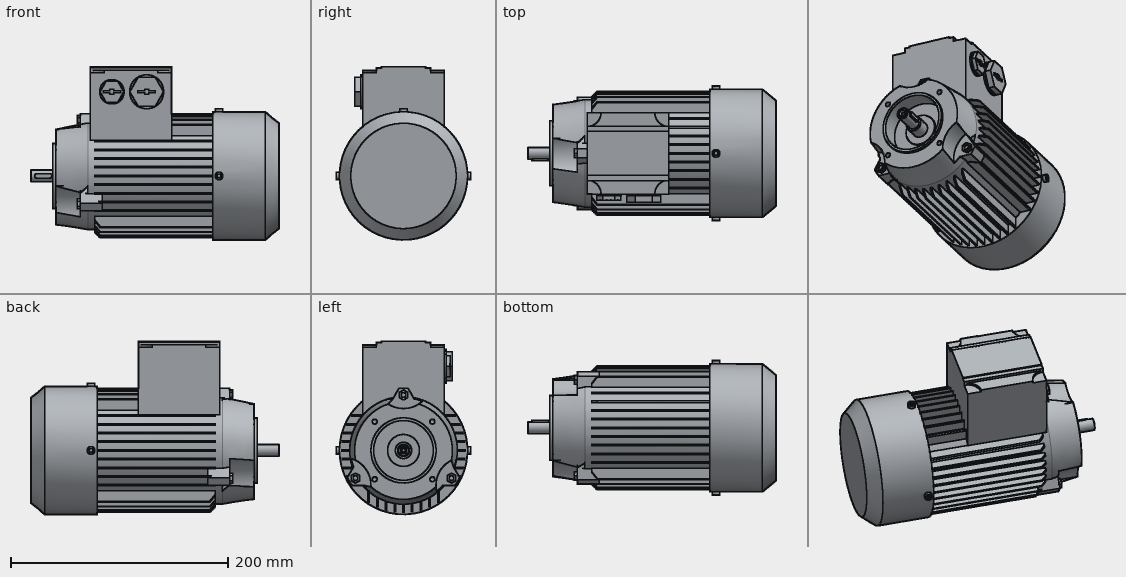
import cadquery as cq
import math


shaft_d = 11
shaft_len = 23
shaft_chamfer = 0.5
collar_d = 15
key_w = 4
key_len = 16
key_end_gap = 3.5
key_top = 7
center_hole_d = 3.3
center_hole_depth = 10
center_sink_d = 6.4

flange_r = 45
flange_len = 29.6
spigot_r = 30
spigot_len = 3
bore_r = 27.5
bore_floor_x = 15.5
boss_r = 14.7
boss_h = 2
hole_circle_d = 75
hole_d = 4.5
hole_depth = 10
hole_tip_slope = 30

body_r = 49.5
fin_tip_r = 57
fin_toe_r = 52
fin_start_x = 35.8
fin_t = 1.4
fin_pitch = 8
fins_each_side_of_center = 4

lug_count = 3
lug_front_x = 22.7
lug_back_x = 42.8
lug_top_r = 57.3
lug_top_half_w = 4.1
lug_foot_r = 36
lug_slope = 30
recess_depth_r = 38.5
recess_arc_r = 26
recess_half_w = 14.1
recess_wall_top = (9.3, 48)
recess_open_half_w = 22
recess_clear_r = 56
bolt_r = 51
bolt_flats = 8
bolt_head_h = 2.9
bolt_bore_d = 4.5
bolt_bore_depth = 1

cover_front_x = 144.4
cover_cone_x = 192.8
motor_end_x = 205.5
cover_r = 59
cover_end_r = 48.5
screw_x = 150.1
screw_d = 7
screw_top_r = 62
screw_socket_flats = 3.5
screw_socket_depth = 2

box_x0 = 31.6
box_size = 75
box_bottom_z = 32.7
lid_edge_z = 97
lid_step_z = 99.4
lid_top_z = 100.5
lid_step_half_w = 25
lid_top_half_w = 20.3
corner_pocket_r = 12.8
corner_pocket_z = 95

plug_z = 77.4
plugs = ((51.6, 22.5, 19, 3.8), (83.6, 31.3, 27, 5.8))
washer_h = 1.7
plug_slot_len = 16
plug_slot_w = 2
plug_cross_len = 3.8
plug_cross_w = 4.8
plug_slot_depth = 1

shaft_r = shaft_d / 2
box_half = box_size / 2
box_x1 = box_x0 + box_size


def x_cylinder(radius, x0, x1):
    """Cylinder on the shaft axis from x0 to x1."""
    return cq.Workplane("YZ").workplane(offset=x0).circle(radius).extrude(x1 - x0)


def box_between(x0, x1, y0, y1, z0, z1):
    """Axis-aligned box given by its limits."""
    return cq.Workplane("XY").box(x1 - x0, y1 - y0, z1 - z0, centered=False).translate((x0, y0, z0))


def revolve_about_x(points):
    """Solid of revolution about the shaft axis from (x, radius) points."""
    return cq.Workplane("XY").polyline(points).close().revolve(360, (0, 0, 0), (1, 0, 0))


def lug_angles():
    return [i * 360 / lug_count for i in range(lug_count)]


def around_axis(shape, angle):
    return shape.rotate((0, 0, 0), (1, 0, 0), angle)


def make_shaft():
    shaft = x_cylinder(shaft_r, -shaft_len, bore_floor_x).faces("<X").chamfer(shaft_chamfer)
    shaft = shaft.union(x_cylinder(collar_d / 2, 0, bore_floor_x))
    sink_r = center_sink_d / 2
    hole_r = center_hole_d / 2
    sink_x = -shaft_len + sink_r - hole_r
    hole_end_x = -shaft_len + center_hole_depth
    center_hole = revolve_about_x(
        [(-shaft_len, 0), (-shaft_len, sink_r), (sink_x, hole_r), (hole_end_x, hole_r), (hole_end_x, 0)]
    )
    key_mid_x = -key_end_gap - key_len / 2
    key = (
        cq.Workplane("XZ", origin=(key_mid_x, 0, 0))
        .slot2D(key_len, key_w)
        .extrude(key_top)
    )
    return shaft.union(key).cut(center_hole)


def make_flange():
    flange = revolve_about_x(
        [
            (-spigot_len, 0),
            (-spigot_len, spigot_r),
            (0, spigot_r),
            (0, flange_r),
            (flange_len, body_r),
            (flange_len, 0),
        ]
    )
    flange = flange.cut(x_cylinder(bore_r, -spigot_len, bore_floor_x))
    flange = flange.union(x_cylinder(boss_r, bore_floor_x - boss_h, bore_floor_x))
    hole_r = hole_d / 2
    tip_x = hole_depth + hole_r * math.tan(math.radians(hole_tip_slope))
    hole = revolve_about_x([(0, 0), (0, hole_r), (hole_depth, hole_r), (tip_x, 0)])
    hole_offset = hole_circle_d / 2 * math.cos(math.radians(45))
    for y in (-hole_offset, hole_offset):
        for z in (-hole_offset, hole_offset):
            flange = flange.cut(hole.translate((0, y, z)))
    return flange


def arc_height(y):
    """Height of the recess arc, centred above its lowest point, at sideways offset y."""
    return recess_depth_r + recess_arc_r - math.sqrt(recess_arc_r**2 - y**2)


def make_recess():
    """Bolt access recess of the top lug: an arc with one wall leaning inward."""
    wall_y, wall_z = recess_wall_top
    return (
        cq.Workplane("YZ")
        .moveTo(wall_y, wall_z)
        .lineTo(recess_half_w, arc_height(recess_half_w))
        .threePointArc((0, recess_depth_r), (-recess_open_half_w, arc_height(recess_open_half_w)))
        .lineTo(-recess_open_half_w, recess_clear_r)
        .lineTo(wall_y, recess_clear_r)
        .close()
        .extrude(lug_front_x)
    )


def make_lug_relief():
    """45 degree relief that bares one side wall of the top lug behind its recess."""
    wall_y = recess_wall_top[0]
    relief_depth = flange_len - lug_front_x
    return (
        cq.Workplane("XY", origin=(0, 0, lug_foot_r))
        .polyline(
            [
                (lug_front_x, wall_y),
                (flange_len, wall_y),
                (flange_len, wall_y + relief_depth),
            ]
        )
        .close()
        .extrude(recess_clear_r - lug_foot_r)
    )


def make_lug():
    """Top lug, a trapezoid whose wide foot is sunk in the round body."""
    foot_half_w = lug_top_half_w + (lug_top_r - lug_foot_r) * math.tan(math.radians(lug_slope))
    return (
        cq.Workplane("YZ")
        .workplane(offset=lug_front_x)
        .polyline(
            [
                (-foot_half_w, lug_foot_r),
                (-lug_top_half_w, lug_top_r),
                (lug_top_half_w, lug_top_r),
                (foot_half_w, lug_foot_r),
            ]
        )
        .close()
        .extrude(lug_back_x - lug_front_x)
    )


def hexagon_diameter(flats):
    """Diameter across corners of a hexagon given its width across flats."""
    return flats / math.cos(math.radians(30))


def make_bolt(angle):
    """Hexagon bolt head in front of the lug at the given angle, corners up and down."""
    a = math.radians(angle)
    center = (lug_front_x, -bolt_r * math.sin(a), bolt_r * math.cos(a))
    return (
        cq.Workplane("YZ", origin=center)
        .transformed(rotate=(0, 0, 90))
        .polygon(6, hexagon_diameter(bolt_flats))
        .extrude(-bolt_head_h)
        .faces("<X")
        .workplane()
        .hole(bolt_bore_d, bolt_bore_depth)
    )


def make_body():
    """Stator cylinder with upright fins above and below and level fins on both sides."""
    toe_x = fin_start_x + fin_tip_r - fin_toe_r
    envelope = revolve_about_x(
        [
            (fin_start_x, 0),
            (fin_start_x, fin_toe_r),
            (toe_x, fin_tip_r),
            (cover_front_x, fin_tip_r),
            (cover_front_x, 0),
        ]
    )
    half_t = fin_t / 2
    fins = cq.Workplane("XY")
    for i in range(-fins_each_side_of_center, fins_each_side_of_center + 1):
        low = i * fin_pitch - half_t
        high = i * fin_pitch + half_t
        upright = box_between(fin_start_x, cover_front_x, low, high, -fin_tip_r, fin_tip_r)
        level = box_between(fin_start_x, cover_front_x, -fin_tip_r, fin_tip_r, low, high)
        fins = fins.union(upright).union(level)
    fins = fins.intersect(envelope)
    return x_cylinder(body_r, flange_len, cover_front_x).union(fins)


def make_cover():
    cover = revolve_about_x(
        [
            (cover_front_x, 0),
            (cover_front_x, cover_r),
            (cover_cone_x, cover_r),
            (motor_end_x, cover_end_r),
            (motor_end_x, 0),
        ]
    )
    screw = (
        cq.Workplane("XY", origin=(screw_x, 0, body_r))
        .circle(screw_d / 2)
        .extrude(screw_top_r - body_r)
        .faces(">Z")
        .workplane()
        .polygon(6, hexagon_diameter(screw_socket_flats))
        .cutBlind(-screw_socket_depth)
    )
    for angle in (-90, 0, 90):
        cover = cover.union(around_axis(screw, angle))
    return cover


def make_terminal_box():
    housing = box_between(box_x0, box_x1, -box_half, box_half, box_bottom_z, lid_edge_z)
    pocket = (
        cq.Workplane("XY", origin=(0, 0, corner_pocket_z))
        .circle(corner_pocket_r)
        .extrude(lid_edge_z - corner_pocket_z)
    )
    for x in (box_x0, box_x1):
        for y in (-box_half, box_half):
            housing = housing.cut(pocket.translate((x, y, 0)))
    step = box_between(box_x0, box_x1, -lid_step_half_w, lid_step_half_w, box_bottom_z, lid_step_z)
    top = box_between(box_x0, box_x1, -lid_top_half_w, lid_top_half_w, box_bottom_z, lid_top_z)
    return housing.union(step).union(top)


def make_plug(x, washer_d, hex_flats, hex_h):
    """Hexagon plug on a round washer, with a screwdriver slot widened at its middle."""
    washer = cq.Workplane("XZ", origin=(x, -box_half, plug_z)).circle(washer_d / 2).extrude(washer_h)
    head = washer.faces("<Y").workplane().polygon(6, hexagon_diameter(hex_flats)).extrude(hex_h)
    face_y = -box_half - washer_h - hex_h
    face = cq.Workplane("XZ", origin=(x, face_y, plug_z))
    slot = face.rect(plug_slot_len, plug_slot_w).extrude(-plug_slot_depth)
    cross = face.rect(plug_cross_len, plug_cross_w).extrude(-plug_slot_depth)
    return head.cut(slot).cut(cross)


def make_motor():
    motor = make_flange().union(make_body())
    recess = make_recess()
    relief = make_lug_relief()
    lug = make_lug()
    for angle in lug_angles():
        motor = motor.cut(around_axis(recess, angle))
        motor = motor.cut(around_axis(relief, angle))
        motor = motor.union(around_axis(lug, angle))
        motor = motor.union(make_bolt(angle))
    motor = motor.union(make_shaft()).union(make_cover()).union(make_terminal_box())
    for plug in plugs:
        motor = motor.union(make_plug(*plug))
    return motor


result = make_motor()